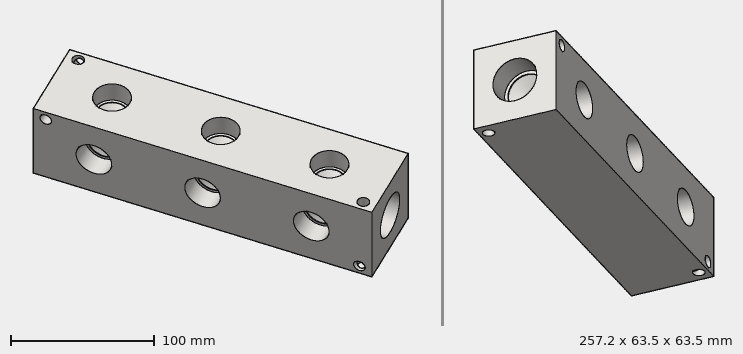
import cadquery as cq
import math

length = 257.2
side = 63.5

tip_angle = 120.0
end_mouth_diameter = 33.7
end_mouth_depth = 19.0
end_drill_diameter = 28.5
end_drill_depth = 19.8
side_mouth_diameter = 27.0
side_mouth_depth = 16.0
side_drill_diameter = 23.0
side_drill_depth = 16.5
side_port_spacing = 82.5

mount_diameter = 8.7
mount_end_inset = 9.5
mount_centre_offset = 24.7


def stepped_port(mouth_diameter, mouth_depth, drill_diameter, drill_depth):
    """Cutter for a port that enters at the origin and goes down along -Z."""
    mouth_radius = mouth_diameter / 2
    drill_radius = drill_diameter / 2
    tip_height = drill_radius / math.tan(math.radians(tip_angle / 2))
    profile = (
        cq.Workplane("XZ")
        .lineTo(mouth_radius, 0)
        .lineTo(mouth_radius, -mouth_depth)
        .lineTo(drill_radius, -mouth_depth)
        .lineTo(drill_radius, -drill_depth)
        .lineTo(0, -drill_depth - tip_height)
        .close()
    )
    return profile.revolve(360, (0, 0, 0), (0, 1, 0))


def long_face_cutters():
    """Three ports in a row and two mounting holes, all entering the +Z face."""
    port = stepped_port(side_mouth_diameter, side_mouth_depth, side_drill_diameter, side_drill_depth)
    mount_x = length / 2 - mount_end_inset
    mount_points = [(-mount_x, mount_centre_offset), (mount_x, -mount_centre_offset)]
    cutters = (
        cq.Workplane("XY", origin=(0, 0, -side / 2))
        .pushPoints(mount_points)
        .circle(mount_diameter / 2)
        .extrude(side)
    )
    for x in (-side_port_spacing, 0, side_port_spacing):
        cutters = cutters.union(port.translate((x, 0, side / 2)))
    return cutters


def end_port_cutter():
    """Large port on the block's long axis, entering the -X face."""
    port = stepped_port(end_mouth_diameter, end_mouth_depth, end_drill_diameter, end_drill_depth)
    return port.rotate((0, 0, 0), (0, 1, 0), -90).translate((-length / 2, 0, 0))


top_cutters = long_face_cutters()
front_cutters = top_cutters.rotate((0, 0, 0), (1, 0, 0), 90)

near_end_cutter = end_port_cutter()
far_end_cutter = near_end_cutter.mirror("YZ")

result = cq.Workplane("XY").box(length, side, side)
for cutter in (top_cutters, front_cutters, near_end_cutter, far_end_cutter):
    result = result.cut(cutter)